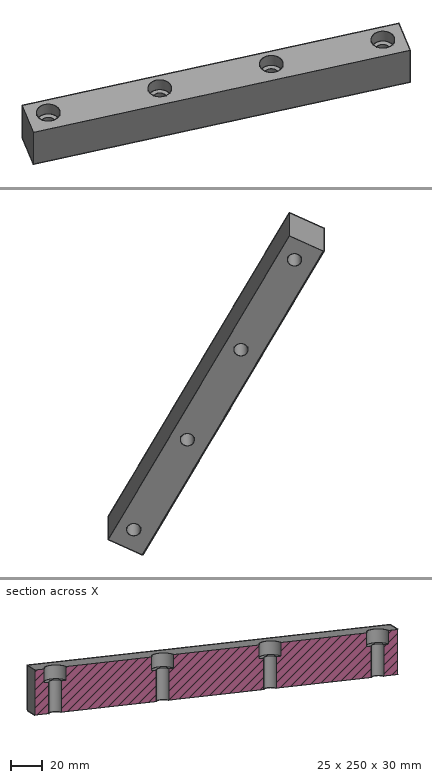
import cadquery as cq

width = 25.0
length = 250.0
height = 30.0
bottom_chamfer = 0.8

hole_count = 4
hole_pitch = 74.0
hole_from_left_face = 11.0
hole_diameter = 9.0
counterbore_diameter = 15.0
counterbore_depth = 9.0

hole_x = hole_from_left_face - width / 2
first_hole_y = -hole_pitch * (hole_count - 1) / 2
hole_centers = [(hole_x, first_hole_y + i * hole_pitch) for i in range(hole_count)]

bar = cq.Workplane("XY").box(width, length, height)
bar = bar.faces(">X").edges("<Z").chamfer(bottom_chamfer)

result = (
    bar.faces(">Z")
    .workplane(origin=(0, 0, 0))
    .pushPoints(hole_centers)
    .cboreHole(hole_diameter, counterbore_diameter, counterbore_depth)
)